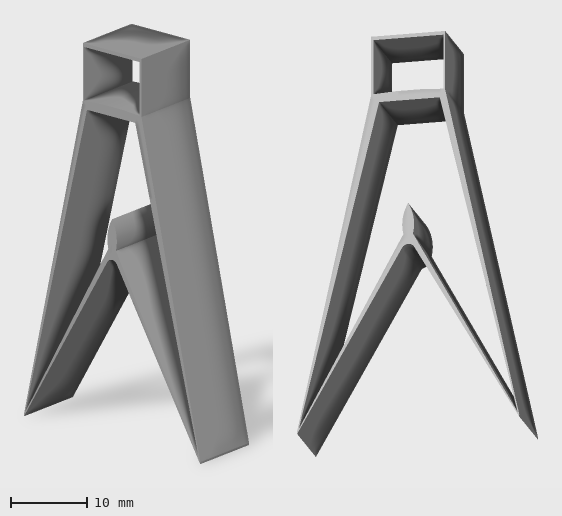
import cadquery as cq


depth = 10.0
foot_span = 30.04
total_height = 53.98

loop_width = 10.0
loop_height = 8.05
left_wall = 0.2
right_wall = 0.3
loop_roof = 0.5
loop_floor_rise = 0.1
floor_crown = 0.2

shelf_half_width = 4.1
shelf_underside_depth = 9.1
shelf_offset_x = -0.17
leg_gap_x = 14.79
leg_gap_z = 0.65
foot_edge_z = 0.3
foot_tip_inset = 0.02

strut_top_half_width = 0.65
strut_top_z = 26.4
arch_z = 25.0
arch_half_width = 0.9
arch_spring_z = 24.4

spike_half_width = 0.8
spike_widest_z = 28.0
spike_tip_z = 30.65

half_span = foot_span / 2
foot_tip_x = half_span - foot_tip_inset
shelf_underside_z = total_height - shelf_underside_depth
half_loop = loop_width / 2
loop_base_z = total_height - loop_height
loop_floor_z = loop_base_z + loop_floor_rise
loop_left_x = left_wall - half_loop
loop_right_x = half_loop - right_wall
loop_mid_x = (loop_left_x + loop_right_x) / 2


def body():
    """Full silhouette: loop, outer legs and the arched space between the struts."""
    outline = (
        cq.Workplane("XZ")
        .moveTo(-foot_tip_x, 0)
        .lineTo(-half_span, foot_edge_z)
        .lineTo(-half_loop, loop_base_z)
        .lineTo(-half_loop, total_height)
        .lineTo(half_loop, total_height)
        .lineTo(half_loop, loop_base_z)
        .lineTo(half_span, foot_edge_z)
        .lineTo(foot_tip_x, 0)
        .lineTo(arch_half_width, arch_spring_z)
        .threePointArc((0, arch_z), (-arch_half_width, arch_spring_z))
        .close()
    )
    return outline.extrude(depth / 2, both=True)


def loop_opening():
    """Opening of the loop, with a slightly crowned floor."""
    outline = (
        cq.Workplane("XZ")
        .moveTo(loop_left_x, loop_floor_z)
        .lineTo(loop_left_x, total_height - loop_roof)
        .lineTo(loop_right_x, total_height - loop_roof)
        .lineTo(loop_right_x, loop_floor_z)
        .threePointArc((loop_mid_x, loop_floor_z + floor_crown), (loop_left_x, loop_floor_z))
        .close()
    )
    return outline.extrude(depth / 2, both=True)


def leg_opening():
    """Space between the outer legs and the struts, leaving the spike standing."""
    outline = (
        cq.Workplane("XZ")
        .moveTo(shelf_offset_x - shelf_half_width, shelf_underside_z)
        .lineTo(shelf_offset_x + shelf_half_width, shelf_underside_z)
        .lineTo(leg_gap_x, leg_gap_z)
        .lineTo(strut_top_half_width, strut_top_z)
        .threePointArc((spike_half_width, spike_widest_z), (0, spike_tip_z))
        .threePointArc((-spike_half_width, spike_widest_z), (-strut_top_half_width, strut_top_z))
        .lineTo(-leg_gap_x, leg_gap_z)
        .close()
    )
    return outline.extrude(depth / 2, both=True)


result = body().cut(loop_opening()).cut(leg_opening())